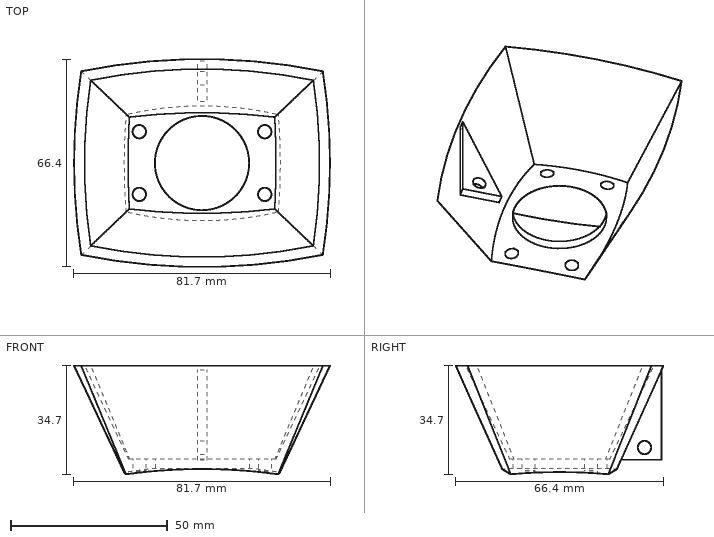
import cadquery as cq
import math

OUTER_RIM = (38.55, 29.3, 2.305, 3.89)
OUTER_BASE = (24.1, 15.4, 0.3, 2.0)
OUTER_DEPTH = 35.0

INNER_RIM = (35.5, 26.4, 2.0, 3.6)
INNER_BASE = (23.2, 14.65, 0.4, 1.4)
CAVITY_DEPTH = 29.6

DOME_RADIUS = 150.0
BASE_CORNER_DEPTH = 34.67
BASE_CORNER_RADIUS = 28.8

CENTRE_HOLE_DIAMETER = 30.0
SCREW_HOLE_DIAMETER = 4.2
SCREW_SPACING_X = 40.0
SCREW_SPACING_Y = 20.0

TAB_THICKNESS = 3.0
TAB_REACH = 32.6
TAB_DEPTH = 30.0
TAB_HOLE_Y = 27.1
TAB_HOLE_DEPTH = 26.1
TAB_HOLE_DIAMETER = 4.2


def bulged_outline(outline, depth):
    """Closed wire of four shallow arcs meeting at sharp corners, at a depth below the rim plane."""
    half_x, half_y, bulge_x, bulge_y = outline
    return (
        cq.Workplane("XY", origin=(0, 0, -depth))
        .moveTo(-half_x, -half_y)
        .threePointArc((0, -half_y - bulge_y), (half_x, -half_y))
        .threePointArc((half_x + bulge_x, 0), (half_x, half_y))
        .threePointArc((0, half_y + bulge_y), (-half_x, half_y))
        .threePointArc((-half_x - bulge_x, 0), (-half_x, -half_y))
        .close()
        .wires()
        .val()
    )


def funnel(rim, base, depth):
    """Solid tapering in straight lines from the rim outline at Z = 0 down to the base outline."""
    wires = [bulged_outline(rim, 0), bulged_outline(base, depth)]
    return cq.Workplane(cq.Solid.makeLoft(wires, True))


def tab():
    """Upright mounting plate on the +Y wall, starting from the middle plane of the part."""
    plate = cq.Workplane("XY").box(TAB_THICKNESS, TAB_REACH, TAB_DEPTH, centered=(True, False, False))
    plate = plate.translate((0, 0, -TAB_DEPTH))
    hole = (
        cq.Workplane("YZ")
        .center(TAB_HOLE_Y, -TAB_HOLE_DEPTH)
        .circle(TAB_HOLE_DIAMETER / 2)
        .extrude(TAB_THICKNESS, both=True)
    )
    return plate.cut(hole)


def underside_dome():
    """Sphere below the part, passing through the four bottom corners of the housing."""
    drop_to_centre = math.sqrt(DOME_RADIUS**2 - BASE_CORNER_RADIUS**2)
    return cq.Workplane("XY", origin=(0, 0, -BASE_CORNER_DEPTH - drop_to_centre)).sphere(DOME_RADIUS)


def floor_holes():
    """Large central opening and four screw holes around it, all through the floor."""
    centre = cq.Workplane("XY").circle(CENTRE_HOLE_DIAMETER / 2).extrude(-OUTER_DEPTH)
    screws = (
        cq.Workplane("XY")
        .rect(SCREW_SPACING_X, SCREW_SPACING_Y, forConstruction=True)
        .vertices()
        .circle(SCREW_HOLE_DIAMETER / 2)
        .extrude(-OUTER_DEPTH)
    )
    return centre.union(screws)


body = funnel(OUTER_RIM, OUTER_BASE, OUTER_DEPTH).cut(underside_dome()).union(tab())
result = body.cut(funnel(INNER_RIM, INNER_BASE, CAVITY_DEPTH)).cut(floor_holes())